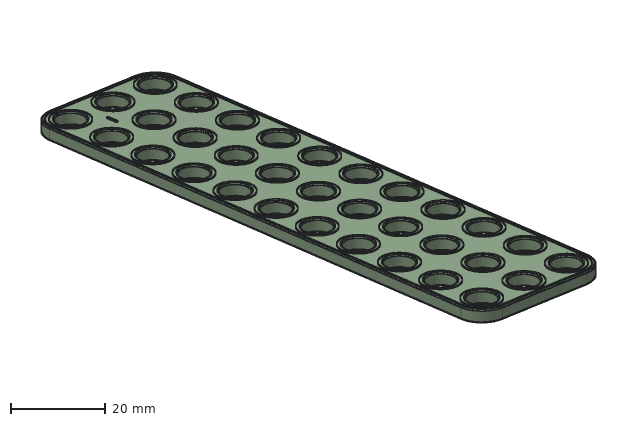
import cadquery as cq

columns = 11
rows = 3
length = 137.5
thickness = 3.2
hole_diameter = 7.0
ring_diameter = 9.2
chamfer = 0.3
border_width = 0.8
panel_depth = 0.2
mark_length = 3.0
mark_width = 0.4
mark_height = panel_depth

pitch = length / columns
width = rows * pitch
corner_radius = pitch / 2


def hole_pattern(diameter, height):
    """Upright cylinders resting on Z = 0, one at the centre of each cell."""
    grid = cq.Workplane("XY").rarray(pitch, pitch, columns, rows)
    return grid.circle(diameter / 2).extrude(height)


def rounded_slab(inset, height):
    """Slab resting on Z = 0 whose outline is the plate outline moved inwards."""
    slab = cq.Workplane("XY").rect(length - 2 * inset, width - 2 * inset).extrude(height)
    return slab.edges("|Z").fillet(corner_radius - inset)


def drilled_plate():
    """Plate with through-holes and chamfers on all top and bottom edges."""
    plate = rounded_slab(0, thickness).cut(hole_pattern(hole_diameter, thickness))
    return plate.faces("<Z or >Z").edges().chamfer(chamfer)


def panel_recess():
    """Shallow recess inside the border that leaves a ring standing around each hole."""
    recess = rounded_slab(border_width, panel_depth).cut(hole_pattern(ring_diameter, panel_depth))
    return recess.translate((0, 0, thickness - panel_depth))


def orientation_mark():
    """Small bar on the panel, midway between the four holes of the lower left corner."""
    mark = cq.Workplane("XY").box(mark_length, mark_width, mark_height, centered=(True, True, False))
    first_column_x = (pitch - length) / 2
    first_row_y = (pitch - width) / 2
    panel_z = thickness - panel_depth
    return mark.translate((first_column_x + pitch / 2, first_row_y + pitch / 2, panel_z))


result = drilled_plate().cut(panel_recess()).union(orientation_mark())